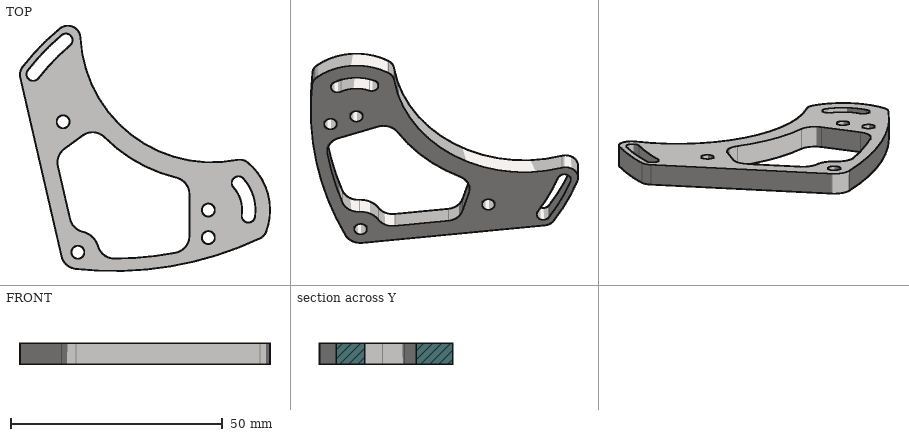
import cadquery as cq
import math

thickness = 5.0
hole_diameter = 3.0
corner_hole = (0.0, 0.0)
pivot_hole = (30.82, 9.96)
hole_spacing = 6.5
lower_hole = (pivot_hole[0], pivot_hole[1] - hole_spacing)
upper_hole = (-3.48, 30.8)

slot_width = 3.1
long_slot = (52.35, 130.0, 142.2)
short_slot = (9.55, -8.3, 42.0)

corner_radius = 4.0
tip_fillet = 3.0
left_edge_angle = 103.0
long_slot_wall = 1.5
short_slot_wall = 3.5
concave_center = (31.6, 52.25)
concave_radius = 31.0
bottom_center = (8.5, 76.5)
bottom_radius = math.dist(bottom_center, corner_hole) + corner_radius
long_slot_rim = long_slot[0] + slot_width / 2 + long_slot_wall
short_slot_rim = short_slot[0] + slot_width / 2 + short_slot_wall

bottom_rail = 3.0
concave_rail = 4.65
corner_boss_radius = 5.0
pocket_fillet = 4.0
pocket_to_hole_line = 4.5
pocket_right_x = pivot_hole[0] - pocket_to_hole_line
pocket_top_angle = 36.2
upper_hole_edge_distance = 5.35


def polar(center, radius, angle):
    """Point at a radius and an angle in degrees from a center."""
    a = math.radians(angle)
    return (center[0] + radius * math.cos(a), center[1] + radius * math.sin(a))


def line_circle(point, angle, center, radius):
    """Both crossings of a line and a circle, ordered along the line direction."""
    ux, uy = polar((0, 0), 1, angle)
    dx, dy = center[0] - point[0], center[1] - point[1]
    along = dx * ux + dy * uy
    half_chord = math.sqrt(radius**2 - (dx * uy - dy * ux) ** 2)
    return [(point[0] + t * ux, point[1] + t * uy) for t in (along - half_chord, along + half_chord)]


def circle_circle(center_a, radius_a, center_b, radius_b):
    """Both crossings of two circles, first the one right of the way from a to b."""
    dx, dy = center_b[0] - center_a[0], center_b[1] - center_a[1]
    gap = math.hypot(dx, dy)
    along = (gap**2 + radius_a**2 - radius_b**2) / (2 * gap)
    chord_foot = (center_a[0] + along * dx / gap, center_a[1] + along * dy / gap)
    chord_angle = math.degrees(math.atan2(dy, dx)) + 90
    return line_circle(chord_foot, chord_angle, center_a, radius_a)


def line_line(point_a, angle_a, point_b, angle_b):
    """Crossing of two lines."""
    ax, ay = polar((0, 0), 1, angle_a)
    bx, by = polar((0, 0), 1, angle_b)
    dx, dy = point_b[0] - point_a[0], point_b[1] - point_a[1]
    t = (dx * by - dy * bx) / (ax * by - ay * bx)
    return (point_a[0] + t * ax, point_a[1] + t * ay)


def arc_middle(center, start, end):
    """Middle of the shorter arc between two points on a circle."""
    mid_x = (start[0] + end[0]) / 2 - center[0]
    mid_y = (start[1] + end[1]) / 2 - center[1]
    return polar(center, math.dist(center, start), math.degrees(math.atan2(mid_y, mid_x)))


def prism(corners, arc_centers):
    """Extrude a closed outline; side i is straight, or an arc when it has a center."""
    outline = cq.Workplane("XY").moveTo(*corners[0])
    for i, center in enumerate(arc_centers):
        start = corners[i]
        end = corners[(i + 1) % len(corners)]
        if center is None:
            outline = outline.lineTo(*end)
        else:
            outline = outline.threePointArc(arc_middle(center, start, end), end)
    return outline.close().extrude(thickness)


def round_corner(body, corner, radius):
    """Fillet the upright edge at one outline corner."""
    nearest = cq.selectors.NearestToPointSelector((*corner, thickness / 2))
    return body.edges("|Z").edges(nearest).fillet(radius)


def make_plate():
    left_point = polar(corner_hole, corner_radius, left_edge_angle + 90)
    bottom_left = line_circle(left_point, left_edge_angle, bottom_center, bottom_radius)[0]
    bottom_right = circle_circle(bottom_center, bottom_radius, pivot_hole, short_slot_rim)[1]
    top_right = circle_circle(concave_center, concave_radius, pivot_hole, short_slot_rim)[1]
    tip = circle_circle(concave_center, concave_radius, pivot_hole, long_slot_rim)[0]
    top_left = line_circle(left_point, left_edge_angle, pivot_hole, long_slot_rim)[1]

    corners = [bottom_left, bottom_right, top_right, tip, top_left]
    plate = prism(corners, [bottom_center, pivot_hole, concave_center, pivot_hole, None])
    plate = round_corner(plate, bottom_left, corner_radius)
    for corner in corners[1:]:
        plate = round_corner(plate, corner, tip_fillet)
    return plate


def make_pocket():
    floor_radius = bottom_radius - bottom_rail
    roof_radius = concave_radius + concave_rail
    slope_point = polar(upper_hole, upper_hole_edge_distance, pocket_top_angle - 90)
    right_point = (pocket_right_x, 0)

    boss_left = polar(corner_hole, corner_boss_radius, left_edge_angle)
    boss_right = circle_circle(corner_hole, corner_boss_radius, bottom_center, floor_radius)[0]
    floor_right = line_circle(right_point, 90, bottom_center, floor_radius)[0]
    roof_right = line_circle(right_point, 90, concave_center, roof_radius)[0]
    roof_left = line_circle(slope_point, pocket_top_angle, concave_center, roof_radius)[0]
    slope_left = line_line(corner_hole, left_edge_angle, slope_point, pocket_top_angle)

    corners = [boss_left, boss_right, floor_right, roof_right, roof_left, slope_left]
    pocket = prism(corners, [corner_hole, bottom_center, None, concave_center, None, None])
    for corner in corners:
        pocket = round_corner(pocket, corner, pocket_fillet)
    return pocket


def make_slot(pitch_radius, start_angle, end_angle):
    inner = pitch_radius - slot_width / 2
    outer = pitch_radius + slot_width / 2
    middle_angle = (start_angle + end_angle) / 2
    band = (
        cq.Workplane("XY")
        .moveTo(*polar(pivot_hole, inner, start_angle))
        .threePointArc(polar(pivot_hole, inner, middle_angle), polar(pivot_hole, inner, end_angle))
        .lineTo(*polar(pivot_hole, outer, end_angle))
        .threePointArc(polar(pivot_hole, outer, middle_angle), polar(pivot_hole, outer, start_angle))
        .close()
        .extrude(thickness)
    )
    end_centers = [polar(pivot_hole, pitch_radius, a) for a in (start_angle, end_angle)]
    ends = cq.Workplane("XY").pushPoints(end_centers).circle(slot_width / 2).extrude(thickness)
    return band.union(ends)


def make_holes():
    centers = [corner_hole, pivot_hole, lower_hole, upper_hole]
    return cq.Workplane("XY").pushPoints(centers).circle(hole_diameter / 2).extrude(thickness)


result = make_plate().cut(make_pocket()).cut(make_holes())
for slot in (long_slot, short_slot):
    result = result.cut(make_slot(*slot))